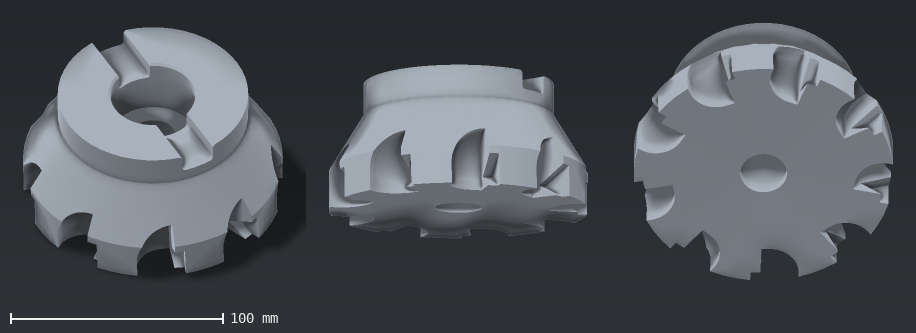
import cadquery as cq
import math

HEIGHT = 60.4
RIM_RADIUS = 61.2
RIM_HEIGHT = 18.5
BASE_DISH_ANGLE = 1.5
HUB_RADIUS = 44.9
HUB_BASE_Z = 45.3

BORE_DIAMETER = 40.0
BORE_RADIUS = BORE_DIAMETER / 2
BORE_DEPTH = 28.1
BORE_CHAMFER = 1.04
SCREW_HOLE_RADIUS = 11.0

SLOT_WIDTH = 16.4
SLOT_DEPTH = 8.9
SLOT_FLOOR_FILLET = 1.8
SLOT_EDGE_CHAMFER = 1.04

TOOTH_COUNT = 9
FIRST_TOOTH_ANGLE = -98.5
FLUTE_RADIUS = 18.0
FLUTE_CORNER_RADIUS = 13.3
FLUTE_CENTER_Z = 9.8
FLUTE_FLOOR_DISTANCE = 43.2
AXIAL_RAKE = 2.0

SEAT_DEPTH = 4.8
SEAT_CORNER_DISTANCE = 46.7
SEAT_CORNER_Z = 6.0
SEAT_SLOPE = 31.0

CLEARANCE = 12.2


def make_body():
    dish_height = RIM_RADIUS * math.tan(math.radians(BASE_DISH_ANGLE))
    profile = (
        cq.Workplane("XZ")
        .moveTo(0, dish_height)
        .lineTo(RIM_RADIUS, 0)
        .lineTo(RIM_RADIUS, RIM_HEIGHT)
        .lineTo(HUB_RADIUS, HUB_BASE_Z)
        .lineTo(HUB_RADIUS, HEIGHT)
        .lineTo(0, HEIGHT)
        .close()
    )
    return profile.revolve(360, (0, 0, 0), (0, 1, 0))


def make_bore():
    bore_floor_z = HEIGHT - BORE_DEPTH
    profile = (
        cq.Workplane("XZ")
        .moveTo(0, -CLEARANCE)
        .lineTo(SCREW_HOLE_RADIUS, -CLEARANCE)
        .lineTo(SCREW_HOLE_RADIUS, bore_floor_z)
        .lineTo(BORE_RADIUS, bore_floor_z)
        .lineTo(BORE_RADIUS, HEIGHT - BORE_CHAMFER)
        .lineTo(BORE_RADIUS + BORE_CHAMFER, HEIGHT)
        .lineTo(0, HEIGHT)
        .close()
    )
    return profile.revolve(360, (0, 0, 0), (0, 1, 0))


def make_drive_slot():
    slot_floor_z = HEIGHT - SLOT_DEPTH
    length = 2 * (HUB_RADIUS + CLEARANCE)
    channel = (
        cq.Workplane("XY", origin=(0, 0, slot_floor_z))
        .rect(length, SLOT_WIDTH)
        .extrude(SLOT_DEPTH)
        .edges("|X and <Z")
        .fillet(SLOT_FLOOR_FILLET)
    )
    half_width = SLOT_WIDTH / 2
    edge_breaks = (
        cq.Workplane("YZ", origin=(-length / 2, 0, 0))
        .moveTo(-half_width - SLOT_EDGE_CHAMFER, HEIGHT)
        .lineTo(half_width + SLOT_EDGE_CHAMFER, HEIGHT)
        .lineTo(half_width, HEIGHT - SLOT_EDGE_CHAMFER)
        .lineTo(-half_width, HEIGHT - SLOT_EDGE_CHAMFER)
        .close()
        .extrude(length)
    )
    return channel.union(edge_breaks)


def make_flute():
    """Flute pointing along +X; its tooth face is the plane Y = 0 and it lies on the -Y side."""
    outer_x = RIM_RADIUS + CLEARANCE
    depth = outer_x - FLUTE_FLOOR_DISTANCE
    bottom_z = FLUTE_CENTER_Z + CLEARANCE
    outline = (
        cq.Workplane("YZ", origin=(FLUTE_FLOOR_DISTANCE, 0, FLUTE_CENTER_Z))
        .moveTo(-FLUTE_RADIUS, -bottom_z)
        .lineTo(-FLUTE_RADIUS, 0)
        .threePointArc((0, FLUTE_RADIUS), (FLUTE_RADIUS, 0))
        .lineTo(FLUTE_RADIUS, -bottom_z)
        .close()
    )
    round_nosed = (
        outline.extrude(depth)
        .edges("<X")
        .edges("not <Z")
        .fillet(FLUTE_CORNER_RADIUS)
    )
    flute_side = cq.Workplane("XY").box(
        2 * outer_x, 2 * FLUTE_RADIUS, 2 * HEIGHT
    ).translate((0, -FLUTE_RADIUS, 0))
    return round_nosed.intersect(flute_side)


def make_insert_seat():
    """V-shaped pocket behind the tooth face Y = 0, on the +Y side."""
    run = RIM_RADIUS + CLEARANCE - SEAT_CORNER_DISTANCE
    rise = run * math.tan(math.radians(SEAT_SLOPE))
    return (
        cq.Workplane("XZ")
        .moveTo(SEAT_CORNER_DISTANCE, SEAT_CORNER_Z)
        .lineTo(SEAT_CORNER_DISTANCE + run, SEAT_CORNER_Z + rise)
        .lineTo(SEAT_CORNER_DISTANCE + run, SEAT_CORNER_Z - rise)
        .close()
        .extrude(-SEAT_DEPTH)
    )


def make_tooth_gap():
    return (
        make_flute()
        .union(make_insert_seat())
        .rotate((0, 0, FLUTE_CENTER_Z), (1, 0, FLUTE_CENTER_Z), AXIAL_RAKE)
    )


result = make_body().cut(make_bore()).cut(make_drive_slot())
tooth_gap = make_tooth_gap()
for tooth in range(TOOTH_COUNT):
    angle = FIRST_TOOTH_ANGLE + tooth * 360 / TOOTH_COUNT
    result = result.cut(tooth_gap.rotate((0, 0, 0), (0, 0, 1), angle))